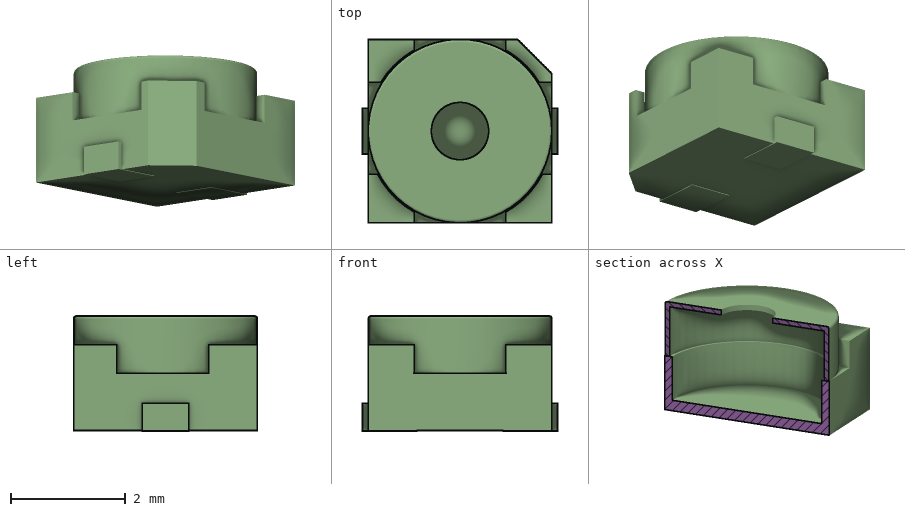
import cadquery as cq

housing_side = 3.2
housing_bottom = 0.01
housing_height = 1.5
corner_chamfer = 0.6
seat_height = 1.0
seat_radius = 1.62
notch_width = 1.598
side_notch_offset = 0.048
pocket_radius = 1.45
pocket_floor = 0.2

overall_length = 3.4
terminal_width = 0.802
terminal_height = 0.49
foot_length = 0.95

can_top = 2.01
can_radius = housing_side / 2
can_wall = 0.1
can_edge_round = 0.05
sound_hole_radius = 0.5

seat_z = housing_bottom + seat_height
post_height = housing_height - seat_height


def box(length, width, height, x=0, y=0, z=0):
    """Box centred at (x, y), standing on height z."""
    return cq.Workplane("XY").box(length, width, height, centered=(True, True, False)).translate((x, y, z))


def cylinder(radius, height, z):
    """Vertical cylinder on the Z axis, standing on height z."""
    return cq.Workplane("XY").workplane(offset=z).circle(radius).extrude(height)


def make_terminal(side):
    """Side plate and foot of the terminal on the -X (side = -1) or +X (side = 1) face."""
    plate_thickness = (overall_length - housing_side) / 2
    plate_x = side * (housing_side + plate_thickness) / 2
    foot_x = side * (overall_length - foot_length) / 2
    plate = box(plate_thickness, terminal_width, terminal_height, x=plate_x)
    foot = box(foot_length, terminal_width, housing_bottom, x=foot_x)
    return plate.union(foot)


def make_housing():
    """Square block with four corner posts, a stepped round pocket and two terminals."""
    block = box(housing_side, housing_side, housing_height, z=housing_bottom)
    block = block.edges("|Z and >X and >Y").chamfer(corner_chamfer)

    block = block.cut(cylinder(seat_radius, post_height, seat_z))
    block = block.cut(box(notch_width, housing_side, post_height, z=seat_z))
    block = block.cut(box(housing_side, notch_width, post_height, y=side_notch_offset, z=seat_z))

    block = block.cut(cylinder(pocket_radius, seat_height - pocket_floor, housing_bottom + pocket_floor))

    for side in (-1, 1):
        block = block.union(make_terminal(side))
    return block


def make_can():
    """Inverted cup with a rounded top edge and a central sound hole."""
    can_height = can_top - seat_z
    can = cylinder(can_radius, can_height, seat_z).faces(">Z").edges().fillet(can_edge_round)
    can = can.cut(cylinder(can_radius - can_wall, can_height - can_wall, seat_z))
    return can.cut(cylinder(sound_hole_radius, can_height, seat_z))


housing = make_housing()
can = make_can()
result = cq.Compound.makeCompound([housing.val(), can.val()])